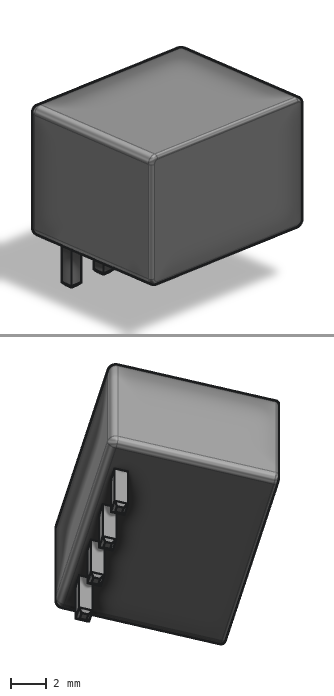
import cadquery as cq

housing_length = 10.1
housing_width = 12.16
housing_height = 8.2
edge_radius = 0.5
rear_edge_radius = 0.25

pin_count = 4
pin_pitch = 2.54
pin_side = 0.8
pin_length = 3.5
tip_chamfer = 0.2
pin_row_inset = 1.2


def make_housing():
    """Rounded block, with a smaller radius around its rear (+X) face."""
    block = cq.Workplane("XY").box(
        housing_length, housing_width, housing_height, centered=(False, True, False)
    )
    block = block.edges("|X or <X").fillet(edge_radius)
    block = block.faces(">X").edges().fillet(rear_edge_radius)
    return block.translate((-pin_row_inset, 0, 0))


def make_pin(y_position):
    """Square pin hanging from the housing underside, with a chamfered tip."""
    pin = cq.Workplane("XY").rect(pin_side, pin_side).extrude(-pin_length)
    pin = pin.faces("<Z").edges().chamfer(tip_chamfer)
    return pin.translate((0, y_position, 0))


housing = make_housing()

first_pin_y = -(pin_count - 1) * pin_pitch / 2
pins = []
for index in range(pin_count):
    pins.append(make_pin(first_pin_y + index * pin_pitch))

result = cq.Compound.makeCompound([housing.val(), *[pin.val() for pin in pins]])